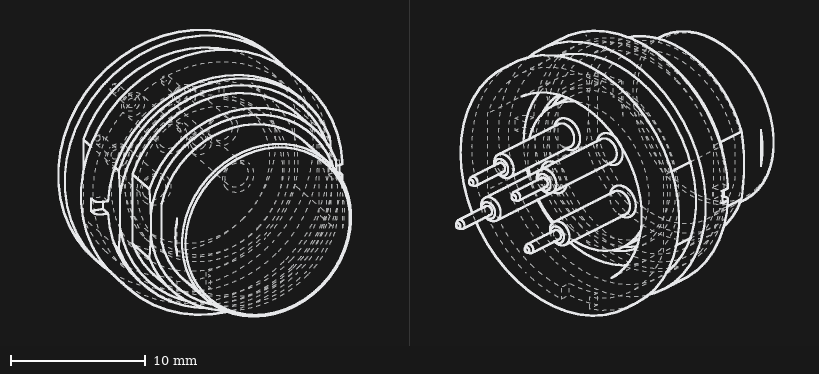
import cadquery as cq
import math


FLANGE_DIAMETER = 20.0
FLANGE_LENGTH = 1.5
FLANGE_EDGE_RADIUS = 0.3
THREAD_DIAMETER = 18.1
THREAD_END = 8.5
THREAD_FLATS_WIDTH = 17.0
COLLAR_DIAMETER = 16
COLLAR_END = 12.0
COLLAR_FLATS_WIDTH = 15
LEAD_IN_DEPTH = 0.45
LEAD_IN_LENGTH = 0.27
PLUG_DIAMETER = 13.6
PLUG_END = 16.5
PLUG_EDGE = 0.2
PLUG_FLATS_WIDTH = 13.28
PLUG_FLATS_LENGTH = 3.0

LUG_WIDTH = 2.7
LUG_LENGTH = 0.9

CAVITY_DIAMETER = 15
CAVITY_DEPTH = 4.5
CAVITY_MOUTH_RADIUS = 0.3
RECESS_DIAMETER = 12.8
RECESS_DEPTH = 0.98
KEY_WIDTH = 2.3
KEY_TOP = 7.25
DISC_DIAMETER = 11.7
DISC_FACE = 3.0

PIN_CIRCLE_RADIUS = 3.5
PIN_PLACES = 5
EMPTY_PLACE_ANGLE = -90
PIN_REACH = 8.1
TIP_LENGTH = 3.5
TIP_RADIUS = 0.37
TIP_END_RADIUS = 0.22
TIP_CHAMFER_LENGTH = 0.3
SLEEVE_DIAMETER = 1.9
SLEEVE_RADIUS = SLEEVE_DIAMETER / 2
SLEEVE_CHAMFER = 0.3
PIN_BASE_RADIUS = 1.25

NUT_DIAMETER = FLANGE_DIAMETER
NUT_START = 4.6
NUT_LENGTH = 2.9
NUT_EDGE_RADIUS = 0.5
NUT_SLOT_WIDTH = 0.98
NUT_SLOT_DEPTH = 0.98


def cylinder(diameter, start, end):
    """Cylinder on the connector axis between two X positions."""
    return cq.Workplane("YZ", origin=(start, 0, 0)).circle(diameter / 2).extrude(end - start)


def flatted(diameter, start, end, flats_width):
    """Cylinder with two flats that face -Y and +Y."""
    slab = cq.Workplane("YZ", origin=(start, 0, 0)).rect(flats_width, diameter).extrude(end - start)
    return cylinder(diameter, start, end).intersect(slab)


def lead_in_cylinder(diameter, start, end, flats_width):
    """Flatted cylinder whose front end tapers."""
    radius = diameter / 2
    tapered = (
        cq.Workplane("XY")
        .polyline([
            (start, 0),
            (start, radius),
            (end - LEAD_IN_LENGTH, radius),
            (end, radius - LEAD_IN_DEPTH),
            (end, 0),
        ])
        .close()
        .revolve(360, (0, 0, 0), (1, 0, 0))
    )
    return tapered.intersect(flatted(diameter, start, end, flats_width))


def make_lug():
    """Lug below the axis, reaching out to the radius of the flange rim."""
    rim = cylinder(FLANGE_DIAMETER, FLANGE_LENGTH, FLANGE_LENGTH + LUG_LENGTH)
    block = cq.Workplane("XY").box(
        LUG_LENGTH, LUG_WIDTH, FLANGE_DIAMETER / 2, centered=(False, True, False)
    )
    return rim.intersect(block.translate((FLANGE_LENGTH, 0, -FLANGE_DIAMETER / 2)))


def make_cavity():
    """Rear bore with a keyed recess in its floor, around the raised disc."""
    recess_floor = CAVITY_DEPTH + RECESS_DEPTH
    bore = cylinder(CAVITY_DIAMETER, 0, CAVITY_DEPTH)
    key = (
        cq.Workplane("YZ", origin=(CAVITY_DEPTH, 0, 0))
        .center(0, KEY_TOP / 2)
        .rect(KEY_WIDTH, KEY_TOP)
        .extrude(RECESS_DEPTH)
    )
    recess = cylinder(RECESS_DIAMETER, CAVITY_DEPTH, recess_floor)
    disc = cylinder(DISC_DIAMETER, DISC_FACE, recess_floor)
    return bore.union(recess).union(key).cut(disc)


def make_pin():
    """Stepped pin on the X axis, from its tip to its conical base on the raised disc."""
    tip = -PIN_REACH
    shoulder = tip + TIP_LENGTH
    base_cone_length = PIN_BASE_RADIUS - SLEEVE_RADIUS
    return (
        cq.Workplane("XY")
        .polyline([
            (tip, 0),
            (tip, TIP_END_RADIUS),
            (tip + TIP_CHAMFER_LENGTH, TIP_RADIUS),
            (shoulder, TIP_RADIUS),
            (shoulder, SLEEVE_RADIUS - SLEEVE_CHAMFER),
            (shoulder + SLEEVE_CHAMFER, SLEEVE_RADIUS),
            (DISC_FACE - base_cone_length, SLEEVE_RADIUS),
            (DISC_FACE, PIN_BASE_RADIUS),
            (DISC_FACE, 0),
        ])
        .close()
        .revolve(360, (0, 0, 0), (1, 0, 0))
    )


def make_housing():
    flange = cylinder(FLANGE_DIAMETER, 0, FLANGE_LENGTH).faces("<X").edges().fillet(FLANGE_EDGE_RADIUS)
    thread = lead_in_cylinder(THREAD_DIAMETER, FLANGE_LENGTH, THREAD_END, THREAD_FLATS_WIDTH)
    collar = lead_in_cylinder(COLLAR_DIAMETER, THREAD_END, COLLAR_END, COLLAR_FLATS_WIDTH)
    plug_flats_end = COLLAR_END + PLUG_FLATS_LENGTH
    plug_root = flatted(PLUG_DIAMETER, COLLAR_END, plug_flats_end, PLUG_FLATS_WIDTH)
    plug = cylinder(PLUG_DIAMETER, plug_flats_end, PLUG_END).faces(">X").edges().chamfer(PLUG_EDGE)
    outside = flange.union(thread).union(collar).union(plug_root).union(plug).union(make_lug())

    housing = outside.cut(make_cavity())
    mouth = cq.selectors.RadiusNthSelector(0)
    housing = housing.faces("<X").edges(mouth).fillet(CAVITY_MOUTH_RADIUS)

    pin = make_pin()
    for place in range(1, PIN_PLACES):
        angle = math.radians(EMPTY_PLACE_ANGLE + place * 360 / PIN_PLACES)
        y = PIN_CIRCLE_RADIUS * math.cos(angle)
        z = PIN_CIRCLE_RADIUS * math.sin(angle)
        housing = housing.union(pin.translate((0, y, z)))
    return housing


def make_nut():
    """Ring nut on the thread, with spanner slots across its front face."""
    nut_end = NUT_START + NUT_LENGTH
    blank = cylinder(NUT_DIAMETER, NUT_START, nut_end).faces(">X").edges().fillet(NUT_EDGE_RADIUS)
    slots = (
        cq.Workplane("YZ", origin=(nut_end - NUT_SLOT_DEPTH, 0, 0))
        .rect(NUT_DIAMETER, NUT_SLOT_WIDTH)
        .extrude(NUT_SLOT_DEPTH)
    )
    return blank.cut(cylinder(THREAD_DIAMETER, NUT_START, nut_end)).cut(slots)


housing = make_housing()
nut = make_nut()

result = cq.Compound.makeCompound([housing.val(), nut.val()])